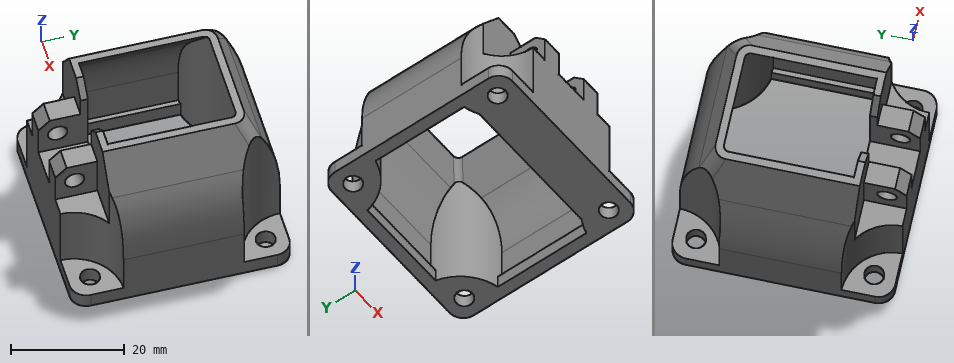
import cadquery as cq
import math

side = 40.0
half = side / 2
height = 30.5

plate_thickness = 3.0
plate_corner_radius = 3.0
hole_diameter = 3.5
hole_offset = 16.0
plate_opening_half = 17.6

wall = 1.5
curve_start_height = 10.8
rim_half_width = 11.0
rim_back = 14.1
side_lean = math.atan(0.71)
back_lean = math.atan(0.5)
housing_corner_radius = 2.8
cavity_corner_radius = housing_corner_radius - wall
corner_scoop_radius = half - rim_half_width

shelf_height = 15.8
front_wall_y = -12.3
cavity_front_y = -10.95

slot_half_width = 3.5
flare_half_width = 6.4
flare_depth = flare_half_width - slot_half_width

lug_outer_x = 7.6
lug_top = 23.85
lug_chamfer = 2.1
pin_diameter = 3.5
pin_y = -16.5
pin_height = 19.95


def wall_profile(plane, opposite, rim, lean, inset):
    """Start a section with one curved wall at the positive end, moved inward by inset."""
    slope_meets_wall = height - (half - rim) / math.tan(lean)
    tangent_length = slope_meets_wall - curve_start_height
    radius = tangent_length / math.tan(lean / 2)

    def arc_point(angle):
        inward = radius * (1 - math.cos(angle))
        return half - inset - inward, curve_start_height + radius * math.sin(angle)

    return (
        cq.Workplane(plane)
        .moveTo(opposite, 0)
        .lineTo(half - inset, 0)
        .lineTo(half - inset, curve_start_height)
        .threePointArc(arc_point(lean / 2), arc_point(lean))
        .lineTo(rim - inset, height)
        .lineTo(opposite, height)
        .close()
    )


def curved_block(inset, front_y, corner_radius):
    """Block with curved sides and back, and rounded back corners."""
    right_half = wall_profile("XZ", 0, rim_half_width, side_lean, inset).extrude(half, both=True)
    across = right_half.union(right_half.mirror("YZ"))
    along = wall_profile("YZ", front_y, rim_back, back_lean, inset).extrude(half, both=True)
    block = across.intersect(along)
    back_corners = cq.selectors.BoxSelector((-side, 0, 0.4), (side, side, height - 0.4))
    corner_edges = [
        edge for edge in block.edges(back_corners).vals()
        if abs(edge.Center().x) > 0.4 and edge.BoundingBox().zlen > 0.4
    ]
    return block.newObject(corner_edges).fillet(corner_radius)


def corner_columns(radius):
    """Upright cylinders centred on the four corners of the plate."""
    return cq.Workplane("XY").rect(side, side, forConstruction=True).vertices().circle(radius).extrude(height)


def housing():
    outer = curved_block(0, -half, housing_corner_radius).cut(corner_columns(corner_scoop_radius))
    return outer.cut(front_clearance())


def cavity():
    inner = curved_block(wall, cavity_front_y, cavity_corner_radius)
    opening = 2 * plate_opening_half
    ledge = (
        cq.Workplane("XY")
        .rect(side, side)
        .rect(opening, opening)
        .extrude(plate_thickness)
    )
    return inner.cut(corner_columns(corner_scoop_radius + wall)).cut(ledge)


def front_clearance():
    """Space above the shelf and in front of the front wall."""
    depth = front_wall_y + half
    return (
        cq.Workplane("XY", origin=(0, -half, shelf_height))
        .box(side, depth, height - shelf_height, centered=(True, False, False))
    )


def base_plate():
    return (
        cq.Workplane("XY")
        .rect(side, side)
        .extrude(plate_thickness)
        .edges("|Z")
        .fillet(plate_corner_radius)
    )


def mounting_holes():
    spacing = 2 * hole_offset
    return (
        cq.Workplane("XY")
        .rect(spacing, spacing, forConstruction=True)
        .vertices()
        .circle(hole_diameter / 2)
        .extrude(plate_thickness)
    )


def front_slot():
    return (
        cq.Workplane("XZ", origin=(0, cavity_front_y, 0))
        .moveTo(-slot_half_width, shelf_height)
        .lineTo(slot_half_width, shelf_height)
        .lineTo(slot_half_width, height - flare_depth)
        .lineTo(flare_half_width, height)
        .lineTo(-flare_half_width, height)
        .lineTo(-slot_half_width, height - flare_depth)
        .close()
        .extrude(half + cavity_front_y)
    )


def hinge_lugs():
    right_lug = (
        cq.Workplane("YZ", origin=(slot_half_width, 0, 0))
        .moveTo(-half, shelf_height)
        .lineTo(front_wall_y, shelf_height)
        .lineTo(front_wall_y, lug_top)
        .lineTo(-half + lug_chamfer, lug_top)
        .lineTo(-half, lug_top - lug_chamfer)
        .close()
        .moveTo(pin_y, pin_height)
        .circle(pin_diameter / 2)
        .extrude(lug_outer_x - slot_half_width)
    )
    return right_lug.union(right_lug.mirror("YZ"))


shell = housing().union(base_plate()).cut(cavity())
result = shell.union(hinge_lugs()).cut(front_slot()).cut(mounting_holes())